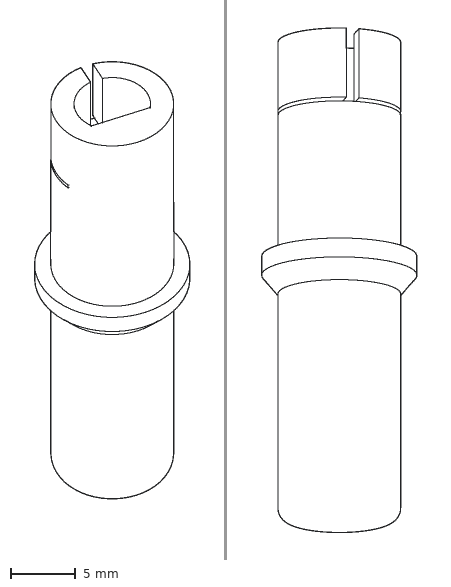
import cadquery as cq

pin_diameter = 9.5
pin_length = 38.0
tip_fillet = 1.0

collar_diameter = 12.0
collar_top_depth = 17.0
collar_rim_height = 1.5
collar_cone_height = 1.5

bore_diameter = 5.9
flat_offset = 1.6
head_height = 5.5
slit_height = 0.3
slot_width = 1.0

pin_radius = pin_diameter / 2
collar_radius = collar_diameter / 2
collar_top_z = pin_length - collar_top_depth
collar_rim_z = collar_top_z - collar_rim_height
collar_base_z = collar_rim_z - collar_cone_height
slit_floor_z = pin_length - head_height - slit_height
cavity_depth = pin_length - slit_floor_z


def make_pin():
    """Plain cylinder with a rounded lower end."""
    pin = cq.Workplane("XY").circle(pin_radius).extrude(pin_length)
    return pin.faces("<Z").edges().fillet(tip_fillet)


def make_collar():
    """Collar revolved about Z: a straight rim above a cone down to the pin."""
    return (
        cq.Workplane("XZ")
        .moveTo(0, collar_base_z)
        .lineTo(pin_radius, collar_base_z)
        .lineTo(collar_radius, collar_rim_z)
        .lineTo(collar_radius, collar_top_z)
        .lineTo(0, collar_top_z)
        .close()
        .revolve(360, (0, 0, 0), (0, 1, 0))
    )


def box_left_of(x_end, width, height):
    """Box on the slit floor, centred in Y, from the collar's -X extent to x_end."""
    length = x_end + collar_radius
    box = cq.Workplane("XY").box(length, width, height, centered=(False, True, False))
    return box.translate((-collar_radius, 0, slit_floor_z))


def make_bore():
    """D-shaped blind bore with its flat on the +X side."""
    round_bore = (
        cq.Workplane("XY", origin=(0, 0, slit_floor_z))
        .circle(bore_diameter / 2)
        .extrude(cavity_depth)
    )
    return round_bore.intersect(box_left_of(flat_offset, collar_diameter, cavity_depth))


def make_slit():
    """Thin horizontal cut from the -X side, ending in the plane of the bore flat."""
    return box_left_of(flat_offset, collar_diameter, slit_height)


def make_slot():
    """Vertical gap from the -X side into the bore."""
    return box_left_of(0, slot_width, cavity_depth)


result = (
    make_pin()
    .union(make_collar())
    .cut(make_bore())
    .cut(make_slit())
    .cut(make_slot())
)